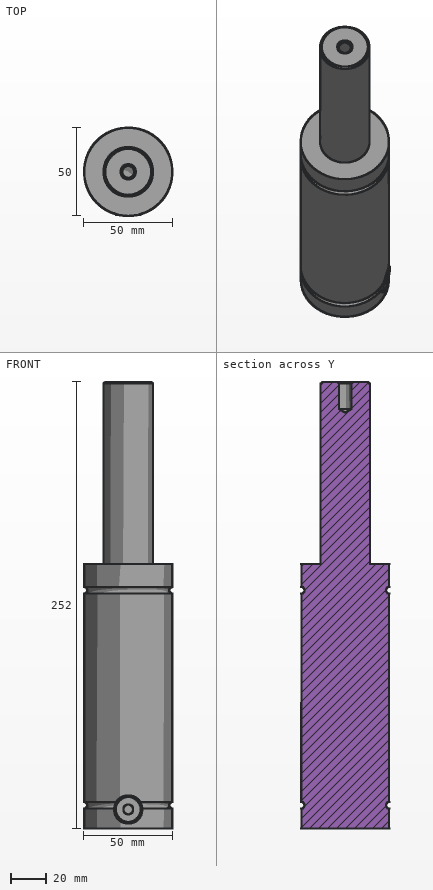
import cadquery as cq
import math

total_height = 252.0
body_diameter = 50.0
body_height = 149.5
rod_diameter = 28.0
rod_chamfer = 1.0

groove_tops = (15.0, 136.3)
groove_height = 3.8
groove_depth = 1.8

rod_hole_diameter = 6.8
rod_hole_mouth_diameter = 8.5
rod_hole_depth = 15.0
drill_point_angle = 118.0

port_height = 10.8
port_diameter = 16.0
port_face_diameter = 14.0
port_hole_diameter = 5.5
port_hole_depth = 2.5
port_face_inset = 0.5
port_gap_depth = 2.5
plug_overlap = 2.5

body_radius = body_diameter / 2


def make_body_and_rod():
    """Cylinder body with a chamfered piston rod on top."""
    body = cq.Workplane("XY").circle(body_radius).extrude(body_height)
    rod = (
        cq.Workplane("XY")
        .workplane(offset=body_height)
        .circle(rod_diameter / 2)
        .extrude(total_height - body_height)
        .faces(">Z")
        .chamfer(rod_chamfer)
    )
    return body.union(rod)


def make_groove(top):
    """Ring with a round concave section."""
    bottom = top - groove_height
    floor_point = (body_radius - groove_depth, (top + bottom) / 2)
    return (
        cq.Workplane("XZ")
        .moveTo(body_radius, bottom)
        .threePointArc(floor_point, (body_radius, top))
        .lineTo(body_diameter, top)
        .lineTo(body_diameter, bottom)
        .close()
        .revolve(360, (0, 0, 0), (0, 1, 0))
    )


def make_rod_hole():
    """Blind hole with a conical point and a countersunk mouth."""
    hole_radius = rod_hole_diameter / 2
    mouth_radius = rod_hole_mouth_diameter / 2
    floor = total_height - rod_hole_depth
    point = hole_radius / math.tan(math.radians(drill_point_angle / 2))
    return (
        cq.Workplane("XZ")
        .moveTo(0, total_height)
        .lineTo(mouth_radius, total_height)
        .lineTo(hole_radius, total_height - (mouth_radius - hole_radius))
        .lineTo(hole_radius, floor)
        .lineTo(0, floor - point)
        .close()
        .revolve(360, (0, 0, 0), (0, 1, 0))
    )


def port_cylinder(diameter, inner_y, outer_y):
    """Cylinder along Y on the port axis."""
    return (
        cq.Workplane("XZ", origin=(0, inner_y, port_height))
        .circle(diameter / 2)
        .extrude(inner_y - outer_y)
    )


def add_port(part):
    """Round pocket holding a flat-faced plug with a ring gap around it."""
    face_y = -(body_radius - port_face_inset)
    pocket_floor_y = face_y + port_gap_depth
    pocket = port_cylinder(port_diameter, pocket_floor_y, -body_diameter)
    plug = port_cylinder(port_face_diameter, pocket_floor_y + plug_overlap, face_y)
    hole = port_cylinder(port_hole_diameter, face_y + port_hole_depth, face_y)
    return part.cut(pocket).union(plug).cut(hole)


result = make_body_and_rod()
for groove_top in groove_tops:
    result = result.cut(make_groove(groove_top))
result = result.cut(make_rod_hole())
result = add_port(result)